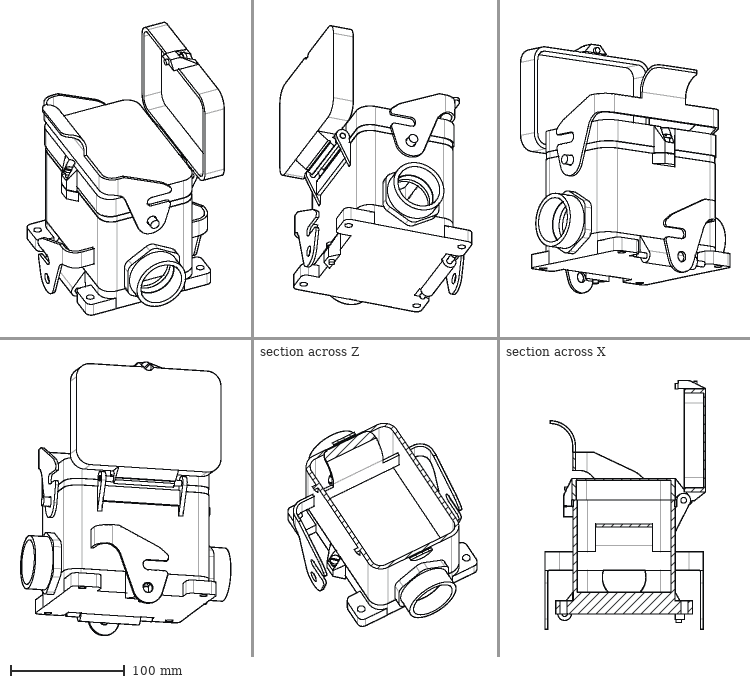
import cadquery as cq
import math

half_length = 66.3
half_width = 45.0
corner_radius = 13.0
wall = 4.0

base_height = 19.3
base_corner_radius = 12.0
base_inset = 0.2
tab_height = 11.8
tab_reach = 60.2
tab_inner_x = 39.2
tab_corner_radius = 5.3
mount_hole_diameter = 6.5
mount_hole_x = 55.5
mount_hole_y = 53.2

ledge_height = 94.5
rim_height = 100.5
rim_inset = 0.5

lid_depth = 18.8
lid_overhang = 0.9
lid_top_thickness = 1.8

hinge_y = 52.3
lid_hinge_z = 100.0
foot_hinge_z = 0.5
hinge_radius = 6.1
rod_diameter = 5.0
rod_end_recess = 0.5
arm_half_width = 27.4
ear_thickness = 4.0
ear_foot_z = 72.2
web_thickness = 3.5
web_foot_z = 81.0

latch_reach = 53.2
latch_length = 24.0
latch_root_width = 24.5
latch_tip_width = 10.5
latch_slope_height = 14.5
latch_pocket_width = 9.6
screw_head_diameter = 9.0
screw_head_thickness = 2.8
screw_head_drop = 10.3
screw_slot_width = 1.3
screw_slot_angle = 45
screw_shank_diameter = 6.5
latch_pin_diameter = 5.0
latch_pin_y = 48.0
latch_pin_length = 2.6
keeper_height = 9.2

gland_z = 32.5
gland_tip_x = 89.5
gland_hex_end_x = 73.5
gland_outer_diameter = 47.0
gland_bore_diameter = 39.2
gland_wall_hole_diameter = 38.0
gland_hex_flats = 50.0
gland_hex_edge_radius = 7.9

bail_thickness = 2.6
bail_half_span = 69.5
bail_strip_reach = 45.3
bail_strip_height = 16.5
bail_top = 54.5
bail_bend_radius = 12.7
bail_hole_diameter = 9.0
bail_foot_radius = 13.8
bail_slot_center_z = 20.5
bail_pivot_z = 88.0
handle_width = 50.1
handle_radius = 22.3
handle_rise = 5.3
handle_corner_radius = 7.2
peg_diameter = 8.0
peg_tip_x = 76.2


def box(x_range, y_range, z_range):
    """Box between the given limits."""
    size = [limits[1] - limits[0] for limits in (x_range, y_range, z_range)]
    return cq.Workplane("XY").box(*size, centered=False).translate((x_range[0], y_range[0], z_range[0]))


def rounded_block(half_x, y_min, y_max, z_min, z_max, radius):
    """Box with rounded upright edges."""
    return box((-half_x, half_x), (y_min, y_max), (z_min, z_max)).edges("|Z").fillet(radius)


def along_x(profile, half_width_x):
    """Extrude a closed YZ sketch symmetrically about the middle of the part."""
    return profile.extrude(half_width_x, both=True)


def rod_x(diameter, y, z, x_start, x_end):
    """Round rod parallel to X."""
    return cq.Workplane("YZ", origin=(x_start, y, z)).circle(diameter / 2).extrude(x_end - x_start)


def post_z(diameter, y, z_start, z_end):
    """Round post parallel to Z in the middle of the part."""
    return cq.Workplane("XY", origin=(0, y, z_start)).circle(diameter / 2).extrude(z_end - z_start)


def trapezoid_block(face_y, z_min, z_max):
    """Upright block on a -Y wall, narrowing towards its outer face; all share the same flanks."""
    flank_slope = (latch_root_width - latch_tip_width) / (latch_reach - half_width - lid_overhang)
    root_width = latch_tip_width + flank_slope * (latch_reach - face_y)
    return (
        cq.Workplane("XY", origin=(0, 0, z_min))
        .polyline([
            (-root_width / 2, -face_y),
            (-latch_tip_width / 2, -latch_reach),
            (latch_tip_width / 2, -latch_reach),
            (root_width / 2, -face_y),
        ])
        .close()
        .extrude(z_max - z_min)
    )


def latch_pocket(top_z):
    """Upright slot with a round bottom that opens through the latch head and its top."""
    floor_z = top_z - latch_slope_height
    half_pocket = latch_pocket_width / 2
    mouth = box((-half_pocket, half_pocket), (-latch_reach, -latch_pin_y), (floor_z, top_z))
    return mouth.union(post_z(latch_pocket_width, -latch_pin_y, floor_z, top_z))


def latch_screw(top_z):
    """Slotted screw standing in the latch pocket."""
    head_bottom = top_z - screw_head_drop
    head_top = head_bottom + screw_head_thickness
    slot = (
        cq.Workplane("XY", origin=(0, -latch_pin_y, (head_bottom + head_top) / 2))
        .transformed(rotate=(0, 0, screw_slot_angle))
        .rect(2 * screw_head_diameter, screw_slot_width)
        .extrude(screw_head_thickness)
    )
    head = post_z(screw_head_diameter, -latch_pin_y, head_bottom, head_top).cut(slot)
    shank = post_z(screw_shank_diameter, -latch_pin_y, top_z - latch_slope_height, head_bottom)
    return head.union(shank)


def add_latch(body, face_y, top_z):
    """Add a latch to the -Y wall of a body: sloping head, pocket with a screw, and a pin below."""
    bottom_z = top_z - latch_length
    head_slope = along_x(
        cq.Workplane("YZ")
        .polyline([(-face_y, top_z), (-latch_reach, top_z), (-latch_reach, top_z - latch_slope_height)])
        .close(),
        latch_root_width,
    )
    block = trapezoid_block(face_y, bottom_z, top_z).cut(head_slope)
    pin = post_z(latch_pin_diameter, -latch_pin_y, bottom_z - latch_pin_length, bottom_z)
    return body.union(block).cut(latch_pocket(top_z)).union(latch_screw(top_z)).union(pin)


def hinge_arm(hinge_z, top_z):
    """Arm on the top edge of a +Y wall, with a quarter knuckle over the hinge axis.

    Its two flanks are the same line a quarter turn apart, so an open and a closed arm on one
    axis only touch.
    """
    run = hinge_y - half_width
    rise = top_z - hinge_z
    flank_angle = math.atan2(rise, -run) - math.acos(hinge_radius / math.hypot(run, rise))
    upper_tangent = (hinge_radius * math.cos(flank_angle), hinge_radius * math.sin(flank_angle))
    lower_tangent = (-upper_tangent[1], upper_tangent[0])
    lower_flank_z = lower_tangent[1] - (run + lower_tangent[0]) * math.tan(flank_angle)
    arm = (
        cq.Workplane("YZ", origin=(0, hinge_y, hinge_z))
        .polyline([(0, 0), lower_tangent, (-run, lower_flank_z), (-run, rise), upper_tangent])
        .close()
    )
    rod_hole = rod_x(rod_diameter, hinge_y, hinge_z, -arm_half_width, arm_half_width)
    return along_x(arm, arm_half_width).cut(rod_hole)


def make_lid():
    """Lid in its closed position: a cup open downwards, with a latch and a quarter hinge knuckle."""
    top_z = rim_height + lid_depth
    front_y = half_width + lid_overhang
    shell = rounded_block(half_length, -front_y, half_width, rim_height, top_z, corner_radius)
    cavity = rounded_block(
        half_length - wall,
        wall - front_y,
        half_width - wall,
        rim_height,
        top_z - lid_top_thickness,
        corner_radius - wall,
    )
    open_wall = box(
        (-half_length, half_length),
        (hinge_y + rim_height - lid_hinge_z, hinge_y + lid_depth),
        (lid_hinge_z + hinge_y - half_width, top_z),
    )
    arm = hinge_arm(lid_hinge_z, top_z).cut(open_wall)
    lid = shell.cut(cavity).union(arm)
    return add_latch(lid, front_y, top_z)


def mounting_tabs():
    """Four drilled tabs at the corners of the foot."""
    tabs = cq.Workplane("XY")
    tab_root_y = half_width - base_corner_radius
    for side_y in (-1, 1):
        for side_x in (-1, 1):
            tab = (
                box((tab_inner_x, half_length), (tab_root_y, tab_reach), (0, tab_height))
                .edges("|Z and >Y")
                .fillet(tab_corner_radius)
            )
            hole = (
                cq.Workplane("XY")
                .center(mount_hole_x, mount_hole_y)
                .circle(mount_hole_diameter / 2)
                .extrude(tab_height)
            )
            tab = tab.cut(hole)
            if side_x < 0:
                tab = tab.mirror("YZ")
            if side_y < 0:
                tab = tab.mirror("XZ")
            tabs = tabs.union(tab)
    return tabs


def foot_hinge():
    """Hinge bracket with a full knuckle, and its rod, between the tabs on the -Y side of the foot."""
    rod = rod_x(rod_diameter, hinge_y, foot_hinge_z, -tab_inner_x, tab_inner_x)
    knuckle = rod_x(2 * hinge_radius, hinge_y, foot_hinge_z, -arm_half_width, arm_half_width)
    root = box((-arm_half_width, arm_half_width), (0, hinge_y), (0, foot_hinge_z + hinge_radius))
    bracket = hinge_arm(foot_hinge_z, base_height).union(knuckle).union(root)
    return bracket.union(rod).mirror("XZ")


def lid_hinge():
    """Two ears with a rod and a web on the +Y wall, under the rim."""
    ear_inner_x = tab_inner_x - ear_thickness
    ears = cq.Workplane("XY")
    lean = math.atan2(hinge_y - half_width, lid_hinge_z - ear_foot_z)
    reach = math.hypot(hinge_y - half_width, lid_hinge_z - ear_foot_z)
    tangent_angle = lean + math.asin(hinge_radius / reach)
    tangent_y = hinge_y + hinge_radius * math.cos(tangent_angle)
    tangent_z = lid_hinge_z - hinge_radius * math.sin(tangent_angle)
    for start_x in (-tab_inner_x, ear_inner_x):
        gusset = (
            cq.Workplane("YZ", origin=(start_x, 0, 0))
            .polyline([
                (half_width, ear_foot_z),
                (tangent_y, tangent_z),
                (hinge_y, lid_hinge_z),
                (hinge_y - hinge_radius, lid_hinge_z),
                (hinge_y - hinge_radius, ledge_height),
                (half_width, ledge_height),
            ])
            .close()
            .extrude(ear_thickness)
        )
        knuckle = rod_x(2 * hinge_radius, hinge_y, lid_hinge_z, start_x, start_x + ear_thickness)
        ears = ears.union(gusset).union(knuckle)
    web = box(
        (-tab_inner_x, tab_inner_x),
        (half_width, half_width + web_thickness),
        (web_foot_z, ledge_height),
    )
    rod_hole = rod_x(rod_diameter, hinge_y, lid_hinge_z, -half_length, half_length)
    rod_half = tab_inner_x - rod_end_recess
    rod = rod_x(rod_diameter, hinge_y, lid_hinge_z, -rod_half, rod_half)
    return ears.cut(rod_hole).union(web).union(rod)


def make_housing(crossing_bail):
    """Hollow housing with foot, rim, hinges, latch parts and pegs; slotted for the crossing bail."""
    foot_half_width = half_width - base_inset
    foot = rounded_block(
        half_length - base_inset, -foot_half_width, foot_half_width, 0, base_height, base_corner_radius
    )
    body = rounded_block(half_length, -half_width, half_width, base_height, ledge_height, corner_radius)
    rim = rounded_block(
        half_length - rim_inset,
        rim_inset - half_width,
        half_width - rim_inset,
        ledge_height,
        rim_height,
        corner_radius - rim_inset,
    )
    cavity = rounded_block(
        half_length - wall,
        wall - half_width,
        half_width - wall,
        base_height,
        rim_height,
        corner_radius - wall,
    )
    housing = foot.union(body).union(rim).cut(cavity)
    housing = housing.union(mounting_tabs()).union(foot_hinge()).union(lid_hinge())

    half_turn = ((0, 0, 0), (0, 0, 1), 180)
    housing = add_latch(housing.rotate(*half_turn), foot_half_width, base_height).rotate(*half_turn)
    keeper = trapezoid_block(half_width, ledge_height - keeper_height, ledge_height)
    latch_bottom = rim_height + lid_depth - latch_length
    pin_hole = post_z(latch_pin_diameter, -latch_pin_y, latch_bottom - latch_pin_length, latch_bottom)
    housing = housing.union(keeper).cut(pin_hole)

    for side in (-1, 1):
        inner_x = side * (half_length - wall)
        peg = rod_x(peg_diameter, 0, bail_pivot_z, inner_x, side * peg_tip_x)
        wall_hole = rod_x(gland_wall_hole_diameter, 0, gland_z, inner_x, side * half_length)
        housing = housing.union(peg).cut(wall_hole)
    return housing.cut(crossing_bail)


def make_gland(side):
    """Cable gland on one end wall: hexagon with rounded edges and a bored sleeve."""
    hexagon = (
        cq.Workplane("YZ")
        .polygon(6, gland_hex_flats / math.cos(math.pi / 6))
        .extrude(gland_hex_end_x - half_length)
        .edges("|X")
        .fillet(gland_hex_edge_radius)
        .rotate((0, 0, 0), (1, 0, 0), 90)
        .translate((half_length, 0, gland_z))
    )
    sleeve = rod_x(gland_outer_diameter, 0, gland_z, gland_hex_end_x, gland_tip_x)
    sleeve_bore = rod_x(gland_bore_diameter, 0, gland_z, gland_hex_end_x, gland_tip_x)
    hexagon_bore = rod_x(gland_wall_hole_diameter, 0, gland_z, half_length, gland_hex_end_x)
    gland = hexagon.union(sleeve).cut(sleeve_bore).cut(hexagon_bore)
    return gland if side > 0 else gland.mirror("YZ")


def bail_side_profile():
    """Side outline of the bail as an extrusion along X, pivot at the origin, strip towards -Y."""
    slot_radius = bail_hole_diameter / 2
    slot_top = bail_slot_center_z + slot_radius
    slot_bottom = bail_slot_center_z - slot_radius
    strip_bottom = bail_top - bail_strip_height
    lean_hook = math.radians(15)
    lean_strip = math.radians(20)
    hook_side = (bail_foot_radius * math.cos(lean_hook), -bail_foot_radius * math.sin(lean_hook))
    strip_side = (-bail_foot_radius * math.cos(lean_strip), -bail_foot_radius * math.sin(lean_strip))
    outline = (
        cq.Workplane("YZ")
        .moveTo(*hook_side)
        .lineTo(18.0, 11.5)
        .threePointArc((17.5, 14.7), (14.5, slot_bottom))
        .lineTo(0, slot_bottom)
        .threePointArc((-slot_radius, bail_slot_center_z), (0, slot_top))
        .lineTo(17.5, slot_top)
        .threePointArc((18.8, 27.5), (17.5, 31.0))
        .lineTo(11.8, 36.0)
        .lineTo(8.8, 37.6)
        .lineTo(-27.0, bail_top)
        .lineTo(-bail_strip_reach, bail_top)
        .lineTo(-bail_strip_reach, strip_bottom)
        .lineTo(-37.2, strip_bottom)
        .threePointArc((-29.5, 34.5), (-24.5, 27.0))
        .lineTo(*strip_side)
        .threePointArc((0, -bail_foot_radius), hook_side)
        .close()
    )
    pivot_hole = cq.Workplane("YZ").circle(bail_hole_diameter / 2).extrude(bail_half_span, both=True)
    return along_x(outline, bail_half_span).cut(pivot_hole)


def bail_handle():
    """Finger grip that rises from the middle of the strip and curls outwards."""
    inner_radius = handle_radius - bail_thickness
    arc_z = bail_top + handle_rise
    back_y = bail_thickness - bail_strip_reach
    center_y = back_y - handle_radius
    diagonal = math.sqrt(0.5)
    profile = (
        cq.Workplane("YZ")
        .moveTo(back_y, bail_top)
        .lineTo(back_y, arc_z)
        .threePointArc(
            (center_y + handle_radius * diagonal, arc_z + handle_radius * diagonal),
            (center_y, arc_z + handle_radius),
        )
        .lineTo(center_y, arc_z + inner_radius)
        .threePointArc(
            (center_y + inner_radius * diagonal, arc_z + inner_radius * diagonal),
            (-bail_strip_reach, arc_z),
        )
        .lineTo(-bail_strip_reach, bail_top)
        .close()
    )
    return along_x(profile, handle_width / 2).edges("|Z and <Y").fillet(handle_corner_radius)


def make_bail():
    """U-shaped locking bail with its pivot axis on X through the origin."""
    depth = 2 * bail_strip_reach
    full_height = bail_top + bail_foot_radius
    half_inner = bail_half_span - bail_thickness

    def outer_block(half_x, reach, radius):
        block = box((-half_x, half_x), (-reach, depth), (-full_height, full_height))
        return block.edges("|Z and <Y").fillet(radius)

    bent_strap = outer_block(bail_half_span, bail_strip_reach, bail_bend_radius).cut(
        outer_block(half_inner, bail_strip_reach - bail_thickness, bail_bend_radius - bail_thickness)
    )
    return bent_strap.intersect(bail_side_profile()).union(bail_handle())


bails = []
for turn, pivot_z in ((0, bail_pivot_z), (90, foot_hinge_z)):
    bails.append(make_bail().rotate((0, 0, 0), (0, 0, 1), turn).translate((0, 0, pivot_z)))

housing = make_housing(bails[1])

lids = []
for swing in (0, -90):
    lids.append(make_lid().rotate((0, hinge_y, lid_hinge_z), (1, hinge_y, lid_hinge_z), swing))

glands = [make_gland(side) for side in (-1, 1)]

result = cq.Compound.makeCompound([body.val() for body in [housing, *lids, *bails, *glands]])